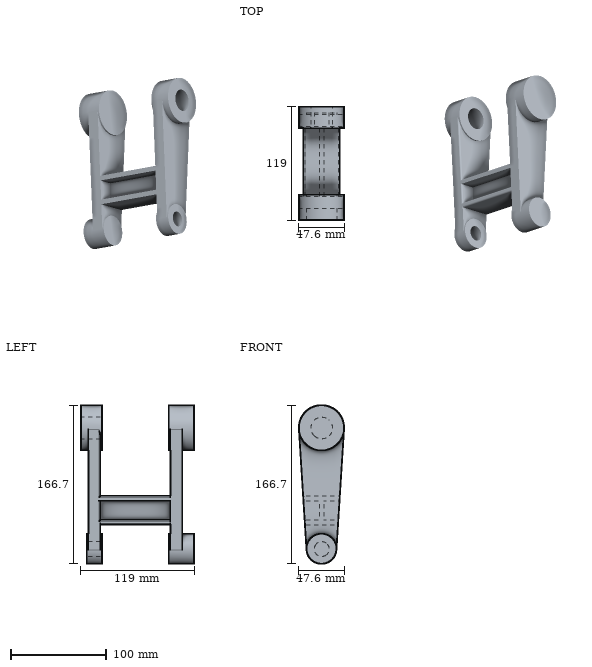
import cadquery as cq
import math

total_height = 166.7
total_depth = 119.0
top_radius = 23.8
bottom_radius = 15.8
top_axis_z = total_height - top_radius
bottom_axis_z = bottom_radius
top_bore_radius = 11.3
bottom_bore_radius = 7.8

arm_thickness = 12.5
boss_lip = 1.8
front_arm_y = 12.5
rear_arm_y = 98.5
front_arm_inner_y = front_arm_y + arm_thickness
rear_boss_y = rear_arm_y - boss_lip
rear_bottom_boss_end = rear_arm_y + arm_thickness + boss_lip

flange_thickness = 5.0
web_thickness = 5.0
bridge_bottom_z = 41.2
bridge_top_z = 71.5
upper_flange_z = bridge_top_z - flange_thickness
lower_flange_top_z = bridge_bottom_z + flange_thickness
edge_radius = 1.5

flank_angle = math.asin((top_radius - bottom_radius) / (top_axis_z - bottom_axis_z))


def tangent_point(radius, axis_z):
    """Point where the +X flank touches a boss, as (x, z)."""
    return radius * math.cos(flank_angle), axis_z - radius * math.sin(flank_angle)


top_x, top_z = tangent_point(top_radius, top_axis_z)
bottom_x, bottom_z = tangent_point(bottom_radius, bottom_axis_z)


def half_width(z):
    """Half width of the tapered arm at height z."""
    return bottom_x + (z - bottom_z) * math.tan(flank_angle)


def cylinder(radius, axis_z, y_start, y_end):
    direction = cq.Vector(0, 1, 0)
    start = cq.Vector(0, y_start, axis_z)
    return cq.Workplane(cq.Solid.makeCylinder(radius, y_end - y_start, start, direction))


def tapered_block(z_low, z_high, y_start, y_end):
    """Block following the arm flanks between two heights."""
    low = half_width(z_low)
    high = half_width(z_high)
    return (
        cq.Workplane("XZ", origin=(0, y_start, 0))
        .polyline([(-low, z_low), (low, z_low), (high, z_high), (-high, z_high)])
        .close()
        .extrude(-(y_end - y_start))
    )


def bridge():
    upper = tapered_block(upper_flange_z, bridge_top_z, front_arm_inner_y, rear_arm_y)
    lower = tapered_block(bridge_bottom_z, lower_flange_top_z, front_arm_inner_y, rear_arm_y)
    web = cq.Workplane("XY").box(
        web_thickness,
        rear_arm_y - front_arm_inner_y,
        bridge_top_z - bridge_bottom_z,
        centered=(True, False, False),
    ).translate((0, front_arm_inner_y, bridge_bottom_z))
    return upper.union(lower).union(web)


def bridge_edge(z):
    """Selector for the flange edge on the -X side at height z."""
    return cq.selectors.NearestToPointSelector(
        (-half_width(z), (front_arm_inner_y + rear_arm_y) / 2, z)
    )


def rear_arm_edge(z):
    """Selector for the inner rear arm edge on the -X side around height z."""
    return cq.selectors.NearestToPointSelector((-half_width(z), rear_arm_y, z))


frame = bridge()
for arm_y in (front_arm_y, rear_arm_y):
    frame = frame.union(tapered_block(bottom_z, top_z, arm_y, arm_y + arm_thickness))

rounded_edges = (
    bridge_edge(bridge_bottom_z)
    + bridge_edge(lower_flange_top_z)
    + bridge_edge(bridge_top_z)
    + rear_arm_edge((lower_flange_top_z + upper_flange_z) / 2)
    + rear_arm_edge((bridge_top_z + top_z) / 2)
)
frame = frame.edges(rounded_edges).fillet(edge_radius)

result = (
    frame
    .union(cylinder(top_radius, top_axis_z, 0, front_arm_inner_y + boss_lip))
    .union(cylinder(bottom_radius, bottom_axis_z, 0, front_arm_inner_y + boss_lip))
    .union(cylinder(top_radius, top_axis_z, rear_boss_y, total_depth))
    .union(cylinder(bottom_radius, bottom_axis_z, rear_boss_y, rear_bottom_boss_end))
    .cut(cylinder(top_bore_radius, top_axis_z, rear_boss_y, total_depth))
    .cut(cylinder(bottom_bore_radius, bottom_axis_z, rear_boss_y, rear_bottom_boss_end))
)